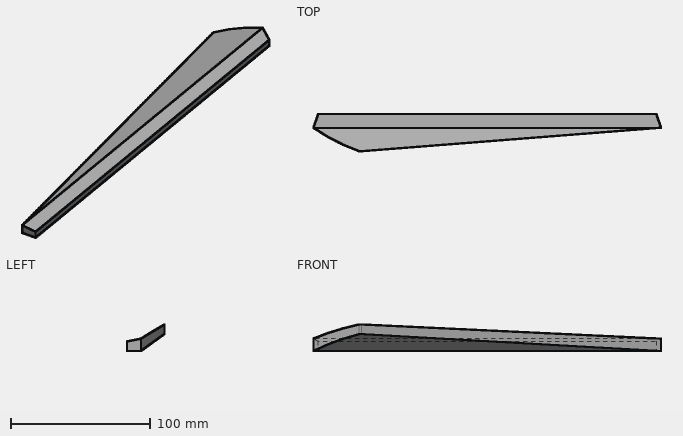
import cadquery as cq
import math

length = 250.0
depth = 27.0
height = 19.2

bar_depth = 10.0
bar_back_height = 7.0
ridge_height = 9.0
wing_edge_bottom = 12.2

end_inset = 3.5
nose_x = 33.0
nose_length = 1.7
left_edge_bulge = 1.2
nose_bulge = 0.07

wing_depth = depth - bar_depth


def plan_prism():
    """Outline of the part seen from above, with vertical walls; the ridge lies on Y = 0."""
    nose_start_y = -wing_depth + nose_bulge
    chord = math.hypot(nose_x, nose_start_y)
    left_edge_middle = (
        nose_x / 2 + left_edge_bulge * nose_start_y / chord,
        nose_start_y / 2 - left_edge_bulge * nose_x / chord,
    )
    return (
        cq.Workplane("XY")
        .moveTo(0, 0)
        .threePointArc(left_edge_middle, (nose_x, nose_start_y))
        .threePointArc((nose_x + nose_length / 2, -wing_depth), (nose_x + nose_length, nose_start_y))
        .lineTo(length, 0)
        .lineTo(length - end_inset, bar_depth)
        .lineTo(end_inset, bar_depth)
        .close()
        .extrude(height)
    )


def section_prism():
    """Bar and wing cross-section, running the full length along X."""
    return (
        cq.Workplane("YZ")
        .polyline([
            (bar_depth, 0),
            (bar_depth, bar_back_height),
            (0, ridge_height),
            (-wing_depth, height),
            (-wing_depth, wing_edge_bottom),
            (0, 0),
        ])
        .close()
        .extrude(length)
    )


result = section_prism().intersect(plan_prism())